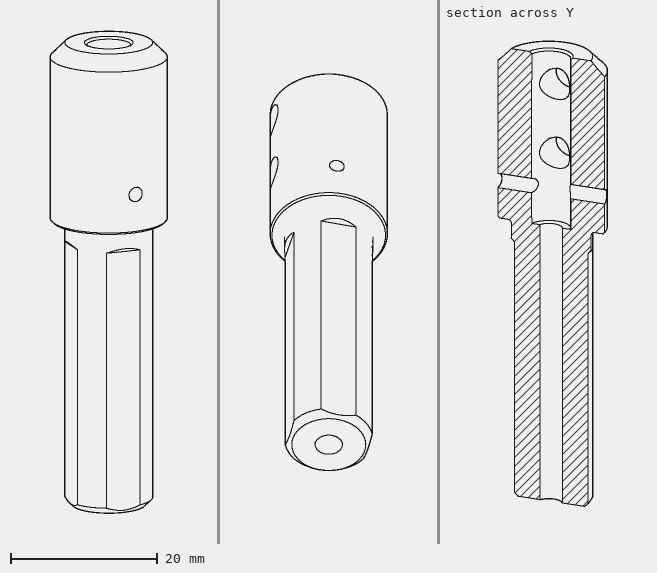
import cadquery as cq

total_length = 65.0
head_diameter = 16.0
head_length = 24.95
head_top_chamfer = 2.0
head_bottom_chamfer = 0.25

shank_diameter = 12.0
shank_end_chamfer = 1.0
shoulder_fillet = 0.5
flat_distance = 5.49
flat_top = 36.9
flat_count = 4

bore_diameter = 6.0
bore_depth = head_length
bore_chamfer = 0.3
through_diameter = 3.7

screw_hole_diameter = 4.5
screw_hole_depths = (5.0, 15.0)
cross_hole_diameter = 2.0
cross_hole_depth = 19.5
cross_hole_offset = 0.85

head_radius = head_diameter / 2
shank_radius = shank_diameter / 2
head_bottom = total_length - head_length


def turned_body():
    """Solid of revolution: chamfered head on a round shank."""
    return (
        cq.Workplane("XZ")
        .moveTo(0, 0)
        .lineTo(shank_radius - shank_end_chamfer, 0)
        .lineTo(shank_radius, shank_end_chamfer)
        .lineTo(shank_radius, head_bottom - shoulder_fillet)
        .radiusArc((shank_radius + shoulder_fillet, head_bottom), shoulder_fillet)
        .lineTo(head_radius - head_bottom_chamfer, head_bottom)
        .lineTo(head_radius, head_bottom + head_bottom_chamfer)
        .lineTo(head_radius, total_length - head_top_chamfer)
        .lineTo(head_radius - head_top_chamfer, total_length)
        .lineTo(0, total_length)
        .close()
        .revolve(360, (0, 0, 0), (0, 1, 0))
    )


def flat_cutter():
    """Block that mills the +X flat, ending in a 45 degree run-out."""
    runout = head_radius - flat_distance
    return (
        cq.Workplane("XZ")
        .moveTo(flat_distance, 0)
        .lineTo(head_radius, 0)
        .lineTo(head_radius, flat_top + runout)
        .lineTo(flat_distance, flat_top)
        .close()
        .extrude(shank_radius, both=True)
    )


def axial_bore():
    """Stepped bore with a chamfered mouth, open at both ends."""
    bore_radius = bore_diameter / 2
    through_radius = through_diameter / 2
    bore_floor = total_length - bore_depth
    return (
        cq.Workplane("XZ")
        .moveTo(0, 0)
        .lineTo(through_radius, 0)
        .lineTo(through_radius, bore_floor)
        .lineTo(bore_radius, bore_floor)
        .lineTo(bore_radius, total_length - bore_chamfer)
        .lineTo(bore_radius + bore_chamfer, total_length)
        .lineTo(0, total_length)
        .close()
        .revolve(360, (0, 0, 0), (0, 1, 0))
    )


def screw_hole(depth_below_top):
    """Radial hole from the bore out through the +Y side of the head."""
    return (
        cq.Workplane("XZ")
        .center(0, total_length - depth_below_top)
        .circle(screw_hole_diameter / 2)
        .extrude(-head_diameter)
    )


def cross_hole():
    """Small hole along X, passing right through the head."""
    return (
        cq.Workplane("YZ")
        .center(cross_hole_offset, total_length - cross_hole_depth)
        .circle(cross_hole_diameter / 2)
        .extrude(head_diameter, both=True)
    )


result = turned_body()

for index in range(flat_count):
    angle = index * 360 / flat_count
    result = result.cut(flat_cutter().rotate((0, 0, 0), (0, 0, 1), angle))

result = result.cut(axial_bore())

for hole_depth in screw_hole_depths:
    result = result.cut(screw_hole(hole_depth))

result = result.cut(cross_hole())